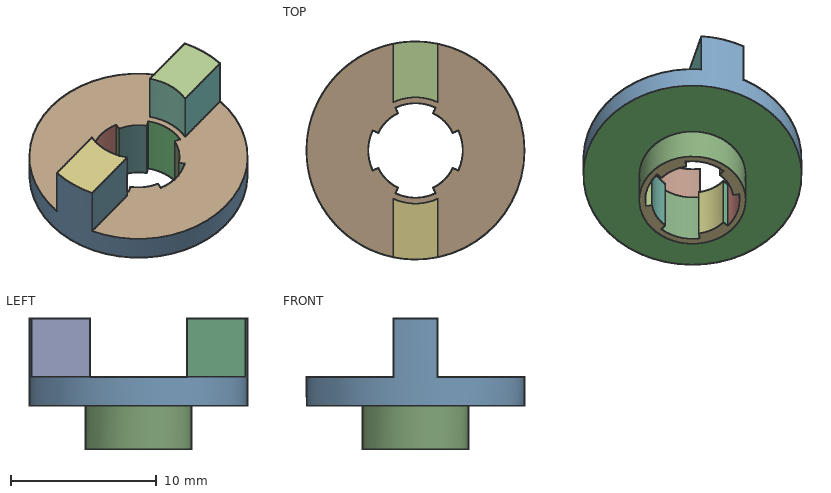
import cadquery as cq
import math

total_height = 9.0
hub_height = 3.0
disc_thickness = 2.0
disc_top = hub_height + disc_thickness
prong_height = total_height - disc_top

disc_diameter = 15.0
hub_diameter = 7.3
bore_diameter = 5.64
groove_diameter = 6.48
prong_width = 3.03

groove_count = 4
groove_pitch = 360.0 / groove_count
groove_angle = 50.0


def cylinder(diameter, height, base):
    return cq.Workplane("XY").workplane(offset=base).circle(diameter / 2).extrude(height)


def groove_sector():
    """Radial-sided sector centred on the X axis, running the full length of the bore."""
    half_angle = math.radians(groove_angle / 2)
    radius = groove_diameter / 2
    side_x = radius * math.cos(half_angle)
    side_y = radius * math.sin(half_angle)
    return (
        cq.Workplane("XY")
        .moveTo(0, 0)
        .lineTo(side_x, -side_y)
        .threePointArc((radius, 0), (side_x, side_y))
        .close()
        .extrude(disc_top)
    )


body = cylinder(hub_diameter, hub_height, 0).union(cylinder(disc_diameter, disc_thickness, hub_height))

prongs = (
    cq.Workplane("XY")
    .workplane(offset=disc_top)
    .rect(prong_width, disc_diameter)
    .extrude(prong_height)
    .intersect(cylinder(disc_diameter, prong_height, disc_top))
    .cut(cylinder(hub_diameter, prong_height, disc_top))
)
body = body.union(prongs)

body = body.cut(cylinder(bore_diameter, disc_top, 0))
for index in range(groove_count):
    body = body.cut(groove_sector().rotate((0, 0, 0), (0, 0, 1), index * groove_pitch))

result = body